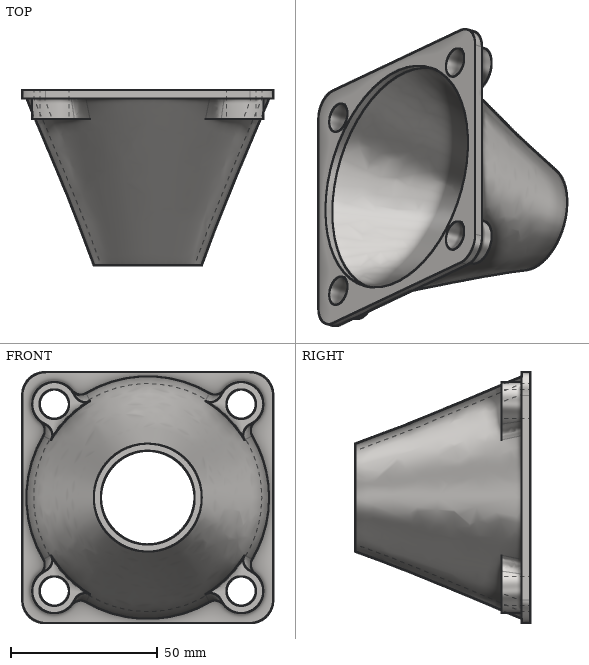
import cadquery as cq
import math

plate_side = 86.0
plate_thickness = 3.0
corner_radius = 8.0
total_depth = 60.0

base_radius = 41.5
tip_radius = 18.5
wall = 2.5
twist = math.radians(22)
profile_steps = 8

hole_spacing = 64.0
hole_diameter = 10.0
boss_radius = 7.6
boss_height = 7.0
boss_fillet = 3.8

tolerance = 0.01

plate_front = -plate_thickness
tip_y = -total_depth
boss_face = plate_front - boss_height
hole_offset = hole_spacing / 2
hole_centres = [(x, z) for x in (-hole_offset, hole_offset) for z in (-hole_offset, hole_offset)]


def horn_solid(start_radius, end_radius):
    """Solid swept by a straight line that joins two circles with a twist between its ends."""
    profile = []
    for step in range(profile_steps + 1):
        t = step / profile_steps
        along = (1 - t) * start_radius + t * end_radius * math.cos(twist)
        across = t * end_radius * math.sin(twist)
        profile.append((math.hypot(along, across), plate_front + t * (tip_y - plate_front)))
    return (
        cq.Workplane("XY")
        .moveTo(0, plate_front)
        .lineTo(*profile[0])
        .spline(profile[1:], includeCurrent=True)
        .lineTo(0, tip_y)
        .close()
        .revolve(360, (0, 0), (0, 1))
    )


def cylinders(radius, start_y, end_y):
    """One cylinder at each screw position, between two Y levels."""
    return (
        cq.Workplane("XZ", origin=(0, start_y, 0))
        .pushPoints(hole_centres)
        .circle(radius)
        .extrude(start_y - end_y)
    )


def horn_with_bosses():
    """Horn joined to the bosses, with the seams between them filleted."""
    body = horn_solid(base_radius, tip_radius).union(cylinders(boss_radius, plate_front, boss_face))
    seams = []
    for edge in body.edges().vals():
        if math.isclose(edge.BoundingBox().ylen, boss_height, abs_tol=tolerance):
            seams.append(edge)
    return body.newObject(seams).fillet(boss_fillet)


plate = (
    cq.Workplane("XZ")
    .rect(plate_side, plate_side)
    .extrude(plate_thickness)
    .edges("|Y")
    .fillet(corner_radius)
)
bore_radius = base_radius - wall
bore_mouth = cq.Workplane("XZ").circle(bore_radius).extrude(plate_thickness)
bore = horn_solid(bore_radius, tip_radius - wall)

result = (
    plate.union(horn_with_bosses())
    .cut(bore_mouth)
    .cut(bore)
    .cut(cylinders(hole_diameter / 2, 0, boss_face))
)